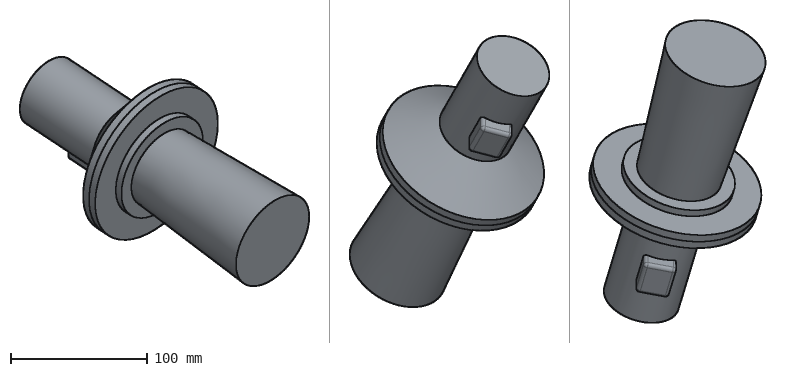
import cadquery as cq

TUBE_END = 76.1
CONE_END = 101.3
JOINT = 107.5
FLANGE_END = 114.0
COLLAR_END = 119.8
TOTAL_LENGTH = 235.0

TUBE_DIAMETER = 57.0
FLANGE_DIAMETER = 127.0
COLLAR_DIAMETER = 84.3
HORN_START_DIAMETER = 64.0
HORN_END_DIAMETER = 76.0

BLOCK_START = 32.7
BLOCK_LENGTH = 27.7
BLOCK_WIDTH = 24.7
BLOCK_BOTTOM = -37.8
BLOCK_ROUNDING = 2.8


def turned(stations):
    """Revolve (position, diameter) stations into a solid about the X axis."""
    outline = [(x, diameter / 2) for x, diameter in stations]
    start = (stations[0][0], 0)
    end = (stations[-1][0], 0)
    profile = cq.Workplane("XY").polyline([start, *outline, end]).close()
    return profile.revolve(360, (0, 0, 0), (1, 0, 0))


def make_block():
    """Block from the tube axis down, rounded on its upright and bottom edges."""
    block = (
        cq.Workplane("XY", origin=(BLOCK_START + BLOCK_LENGTH / 2, 0, BLOCK_BOTTOM))
        .box(BLOCK_LENGTH, BLOCK_WIDTH, -BLOCK_BOTTOM, centered=(True, True, False))
    )
    return block.edges("|Z or <Z").fillet(BLOCK_ROUNDING)


def make_driver():
    """Tube with its block, flaring through a cone to the front half of the flange."""
    body = turned([
        (0, TUBE_DIAMETER),
        (TUBE_END, TUBE_DIAMETER),
        (CONE_END, FLANGE_DIAMETER),
        (JOINT, FLANGE_DIAMETER),
    ])
    return body.union(make_block())


def make_horn():
    """Rear half of the flange, stepped collar and widening horn."""
    return turned([
        (JOINT, FLANGE_DIAMETER),
        (FLANGE_END, FLANGE_DIAMETER),
        (FLANGE_END, COLLAR_DIAMETER),
        (COLLAR_END, COLLAR_DIAMETER),
        (COLLAR_END, HORN_START_DIAMETER),
        (TOTAL_LENGTH, HORN_END_DIAMETER),
    ])


driver = make_driver()
horn = make_horn()

result = cq.Compound.makeCompound([driver.solids().val(), horn.solids().val()])